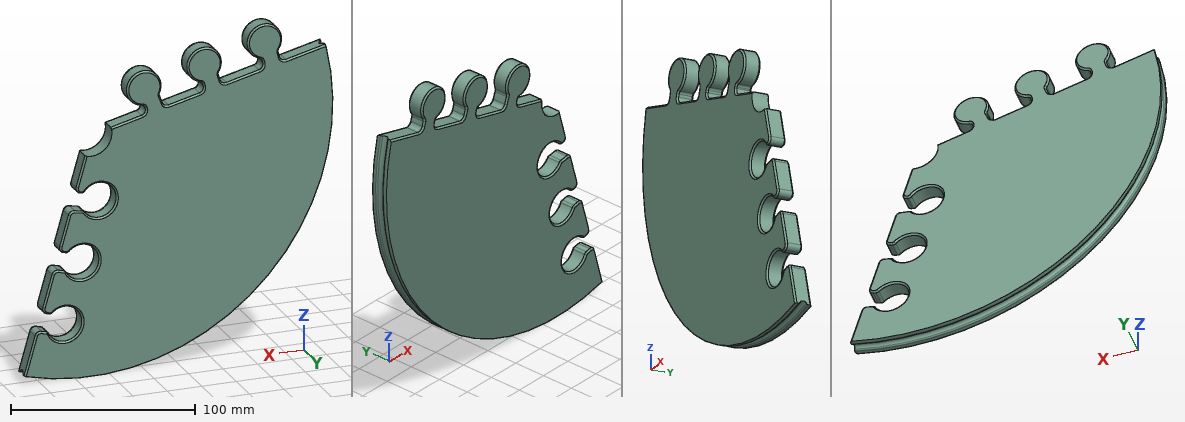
import cadquery as cq
import math

RADIUS = 140.0
THICKNESS = 10.0
EDGE_CHAMFER = 1.0
KNOB_SIDE_ANGLE = 166.0
SECTOR_ANGLE = 120.0
SOCKET_SIDE_ANGLE = KNOB_SIDE_ANGLE + SECTOR_ANGLE

JOINT_START = 35.5
JOINT_PITCH = 36.0
JOINT_COUNT = 3
JOINT_OFFSET = 15.0
JOINT_POSITIONS = [JOINT_START + i * JOINT_PITCH for i in range(JOINT_COUNT)]
KNOB_RADIUS = 10.0
NECK_WIDTH = 10.0
CLEARANCE = 0.1
ROOT_FILLET = 3.0
KNOB_FILLET = 2.0

HUB_NOTCH_RADIUS = 12.0
GROOVE_RADIUS = 2.0
GROOVE_LIP_RADIUS = 1.0
SIDE_TOLERANCE = 0.5
RIM_OVERSIZE = 10.0


def side_point(side_angle, along, offset=0.0):
    """Point at a distance along a side, offset clockwise (seen from -Y) from it."""
    angle = math.radians(side_angle)
    x = along * math.cos(angle) + offset * math.sin(angle)
    z = along * math.sin(angle) - offset * math.cos(angle)
    return (x, z)


def plate_plane():
    """XZ workplane on the back face; extruding by THICKNESS centres the plate on Y = 0."""
    return cq.Workplane("XZ", origin=(0, THICKNESS / 2, 0))


def make_disc(radius, center=(0, 0)):
    return plate_plane().center(*center).circle(radius).extrude(THICKNESS)


def make_joint(side_angle, along, growth):
    """Knob disc and its neck, a band curved about the apex that runs down to the side."""
    orbit = math.hypot(along, JOINT_OFFSET)
    swing = math.degrees(math.atan2(JOINT_OFFSET, along))
    inner = orbit - NECK_WIDTH / 2 - growth
    outer = orbit + NECK_WIDTH / 2 + growth
    neck = (
        plate_plane()
        .moveTo(*side_point(side_angle, inner))
        .lineTo(*side_point(side_angle, outer))
        .threePointArc(
            side_point(side_angle - swing / 2, outer), side_point(side_angle - swing, outer)
        )
        .lineTo(*side_point(side_angle - swing, inner))
        .threePointArc(side_point(side_angle - swing / 2, inner), side_point(side_angle, inner))
        .close()
        .extrude(THICKNESS)
    )
    knob_center = side_point(side_angle, along, JOINT_OFFSET)
    return neck.union(make_disc(KNOB_RADIUS + growth, knob_center))


def make_sector(radius):
    return (
        plate_plane()
        .lineTo(*side_point(KNOB_SIDE_ANGLE, radius))
        .threePointArc(
            side_point(KNOB_SIDE_ANGLE + SECTOR_ANGLE / 2, radius),
            side_point(SOCKET_SIDE_ANGLE, radius),
        )
        .close()
        .extrude(THICKNESS)
    )


def fillet_corners(plate, radius, at_root):
    """Round the joint corners lying on a straight side (at_root) or where neck meets knob."""

    def is_wanted(edge):
        spot = edge.Center()
        reach = math.hypot(spot.x, spot.z)
        if not HUB_NOTCH_RADIUS < reach < RADIUS:
            return False
        bearing = math.degrees(math.atan2(spot.z, spot.x)) % 360
        gaps = [abs(bearing - side) for side in (KNOB_SIDE_ANGLE, SOCKET_SIDE_ANGLE)]
        on_side = min(gaps) < SIDE_TOLERANCE
        return on_side == at_root

    return plate.edges("|Y").filter(is_wanted).fillet(radius)


def make_rim_disc():
    """Full-size disc with a round-bottomed, round-lipped groove along the middle of its rim."""
    half = THICKNESS / 2
    lip_half = math.sqrt((GROOVE_RADIUS + GROOVE_LIP_RADIUS) ** 2 - GROOVE_LIP_RADIUS**2)
    lip_center_r = RADIUS - GROOVE_LIP_RADIUS
    touch_share = GROOVE_RADIUS / (GROOVE_RADIUS + GROOVE_LIP_RADIUS)
    touch_r = RADIUS - touch_share * GROOVE_LIP_RADIUS
    touch_y = touch_share * lip_half
    lip_turn = math.atan2(touch_y - lip_half, touch_r - lip_center_r) / 2
    lip_middle_r = lip_center_r + GROOVE_LIP_RADIUS * math.cos(lip_turn)
    lip_middle_y = lip_half + GROOVE_LIP_RADIUS * math.sin(lip_turn)
    section = (
        cq.Workplane("XY")
        .moveTo(0, -half)
        .lineTo(RADIUS, -half)
        .lineTo(RADIUS, -lip_half)
        .threePointArc((lip_middle_r, -lip_middle_y), (touch_r, -touch_y))
        .threePointArc((RADIUS - GROOVE_RADIUS, 0), (touch_r, touch_y))
        .threePointArc((lip_middle_r, lip_middle_y), (RADIUS, lip_half))
        .lineTo(RADIUS, half)
        .lineTo(0, half)
        .close()
    )
    return section.revolve(360, (0, 0, 0), (0, 1, 0))


plate = make_sector(RADIUS + RIM_OVERSIZE)
for position in JOINT_POSITIONS:
    plate = plate.union(make_joint(KNOB_SIDE_ANGLE, position, 0.0))
    plate = plate.cut(make_joint(SOCKET_SIDE_ANGLE, position, CLEARANCE))
plate = fillet_corners(plate, KNOB_FILLET, at_root=False)
plate = fillet_corners(plate, ROOT_FILLET, at_root=True)
plate = plate.faces("|Y").edges().chamfer(EDGE_CHAMFER)
plate = plate.intersect(make_rim_disc())
result = plate.cut(make_disc(HUB_NOTCH_RADIUS))